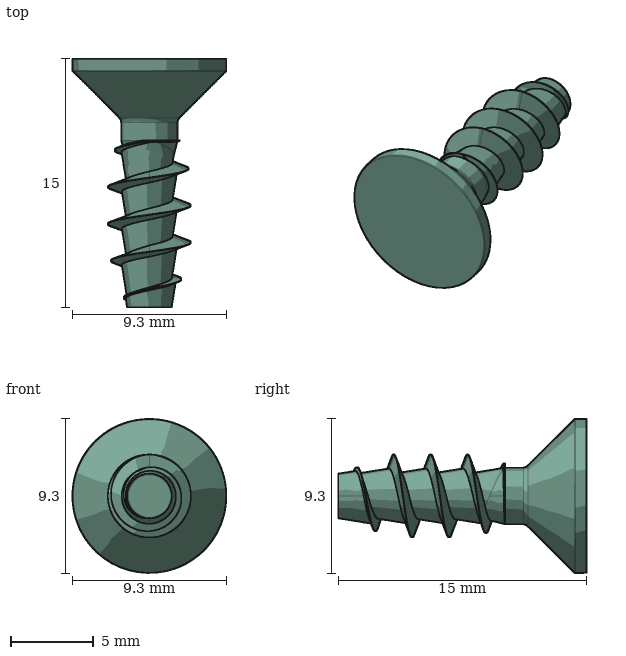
import cadquery as cq
import math

length = 15.0

head_radius = 4.65
rim_height = 0.74
neck_radius = 1.71
neck_end = 4.92
head_edge_round = 0.05
rim_round = 0.1
neck_round = 0.39
countersink_end = rim_height + head_radius - neck_radius

tip_radius = 1.35
tip_land = 0.06
dish_depth = 0.09
neck_taper = 0.25

thread_turns = 4.5
lead_in_turns = 1.0
run_out_turns = 1.5
run_up_turns = 0.5
thread_start = 4.95
pitch = (length - thread_start) / thread_turns
crest_radius = 2.5
run_up_radius = 1.68
lead_in_radius = 1.96
crest_width = 0.03
flank_angle = 18.5
root_radius = 1.05
rod_radius = 1.32
band_gap = 0.02
points_per_turn = 24

core_taper = (neck_radius - tip_radius) / pitch


def revolve_about_y(outline):
    """Turn a closed outline drawn as radius (X) against Y into a solid about the Y axis."""
    return outline.close().revolve(360, (0, 0, 0), (0, 1, 0)).val()


def make_cone(start, start_radius, end, end_radius):
    """Solid cone frustum between two depths."""
    outline = (
        cq.Workplane("XY")
        .moveTo(0, -start)
        .lineTo(start_radius, -start)
        .lineTo(end_radius, -end)
        .lineTo(0, -end)
    )
    return revolve_about_y(outline)


def ring_at(depth):
    """Selector for the circular edges lying at a depth."""
    margin = 0.02
    reach = 2 * head_radius
    return cq.selectors.BoxSelector(
        (-reach, -depth - margin, -reach), (reach, -depth + margin, reach), boundingbox=True
    )


def make_head():
    """Countersunk head with rounded rim, blended into the neck."""
    outline = (
        cq.Workplane("XY")
        .lineTo(head_radius, 0)
        .lineTo(head_radius, -rim_height)
        .lineTo(neck_radius, -countersink_end)
        .lineTo(neck_radius, -neck_end)
        .lineTo(0, -neck_end)
    )
    head = cq.Workplane(revolve_about_y(outline))
    head = head.edges(ring_at(countersink_end)).fillet(neck_round)
    head = head.edges(ring_at(rim_height)).fillet(rim_round)
    return head.edges(ring_at(0)).fillet(head_edge_round).val()


def helix_point(radius, depth, turn):
    """Point on the screw at a turn count: +Z first, then -X, -Z and +X."""
    angle = 2 * math.pi * turn
    return cq.Vector(-radius * math.sin(angle), -depth, radius * math.cos(angle))


def helix_edge(radius_at, depth_at, first_turn, last_turn):
    """Smooth curve through the screw points between two turn counts."""
    steps = round((last_turn - first_turn) * points_per_turn)
    turns = [first_turn + (last_turn - first_turn) * i / steps for i in range(steps + 1)]
    return cq.Edge.makeSpline([helix_point(radius_at(t), depth_at(t), t) for t in turns])


def helical_bar(corners, first_turn, last_turn):
    """Solid between helical corner edges; each corner is a (radius, depth) pair of functions."""
    edges = [helix_edge(radius, depth, first_turn, last_turn) for radius, depth in corners]
    faces = [cq.Face.makeRuledSurface(edges[i - 1], edges[i]) for i in range(len(edges))]
    for turn in (first_turn, last_turn):
        ring = [helix_point(radius(turn), depth(turn), turn) for radius, depth in corners]
        faces.append(cq.Face.makeFromWires(cq.Wire.makePolygon(ring, close=True)))
    return cq.Solid.makeSolid(cq.Shell.makeShell(faces))


def make_thread_section(first_turn, last_turn, first_crest, last_crest, section_pitch=pitch):
    """Thread ridge whose crest radius changes steadily along the section.

    A section pitch of 0 keeps the ridge level at the depth where the thread starts.
    """

    def crest(turn):
        return first_crest + (last_crest - first_crest) * (turn - first_turn) / (last_turn - first_turn)

    def middle(turn):
        return thread_start + section_pitch * turn

    def half_base(turn):
        return crest_width / 2 + (crest(turn) - root_radius) * math.tan(math.radians(flank_angle))

    def root(turn):
        return root_radius

    corners = [
        (root, lambda turn: middle(turn) - half_base(turn)),
        (crest, lambda turn: middle(turn) - crest_width / 2),
        (crest, lambda turn: middle(turn) + crest_width / 2),
        (root, lambda turn: middle(turn) + half_base(turn)),
    ]
    return helical_bar(corners, first_turn, last_turn)


def make_thread():
    """Run-up flush with the neck end, growing lead-in, full thread and fading run-out."""
    full_end = thread_turns - run_out_turns
    sections = [
        make_thread_section(-run_up_turns, 0, run_up_radius, lead_in_radius, 0),
        make_thread_section(0, lead_in_turns, lead_in_radius, crest_radius),
        make_thread_section(lead_in_turns, full_end, crest_radius, crest_radius),
        make_thread_section(full_end, thread_turns, crest_radius, tip_radius),
    ]
    threaded_length = make_cone(neck_end, head_radius, length, head_radius)
    return [section.intersect(threaded_length) for section in sections]


def make_core():
    """Neck cone on a central rod, and a conical band winding between the thread crests."""

    def band_corner(radius, drop):
        return lambda turn: radius, lambda turn: thread_start + pitch * turn + drop

    band_top = band_gap / 2
    band_bottom = pitch - band_gap / 2
    corners = [
        band_corner(root_radius, band_top),
        band_corner(neck_radius - core_taper * band_top, band_top),
        band_corner(neck_radius - core_taper * band_bottom, band_bottom),
        band_corner(root_radius, band_bottom),
    ]
    tip_cone = make_cone(
        thread_start, tip_radius + core_taper * (length - thread_start), length, tip_radius
    )
    first_turn = -1
    band = helical_bar(corners, first_turn, thread_turns).intersect(tip_cone)
    rod = make_cone(neck_end, rod_radius, length, rod_radius)
    neck_cone_end = neck_end + (neck_radius - rod_radius) / neck_taper
    neck_cone = make_cone(neck_end, neck_radius, neck_cone_end, rod_radius)
    return [rod.fuse(neck_cone), band]


def make_tip_dish():
    """Ball whose cap hollows the tip face and leaves a flat ring around it."""
    rim_radius = tip_radius - tip_land
    ball_radius = (rim_radius**2 + dish_depth**2) / (2 * dish_depth)
    centre = cq.Vector(0, dish_depth - length - ball_radius, 0)
    return cq.Solid.makeSphere(ball_radius, centre, angleDegrees1=-90, angleDegrees2=90)


body = make_head()
for section in make_thread():
    body = body.fuse(section)
for piece in make_core():
    body = body.fuse(piece)
result = cq.Workplane(body.cut(make_tip_dish()))